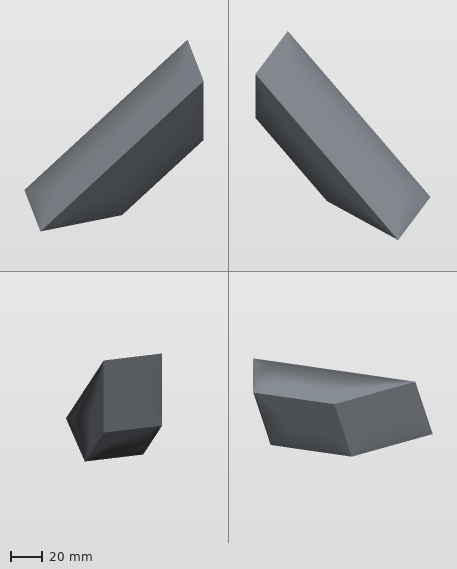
import cadquery as cq
import math

bar_size = 38.1
long_edge = 152.4

mitre_angle = math.radians(45)
span = long_edge * math.cos(mitre_angle)
mitre_face_length = bar_size / math.sin(mitre_angle)
half_span = span / 2

outline = [
    (-half_span, -half_span),
    (mitre_face_length - half_span, -half_span),
    (half_span, half_span - mitre_face_length),
    (half_span, half_span),
]

result = cq.Workplane("YZ").polyline(outline).close().extrude(bar_size / 2, both=True)